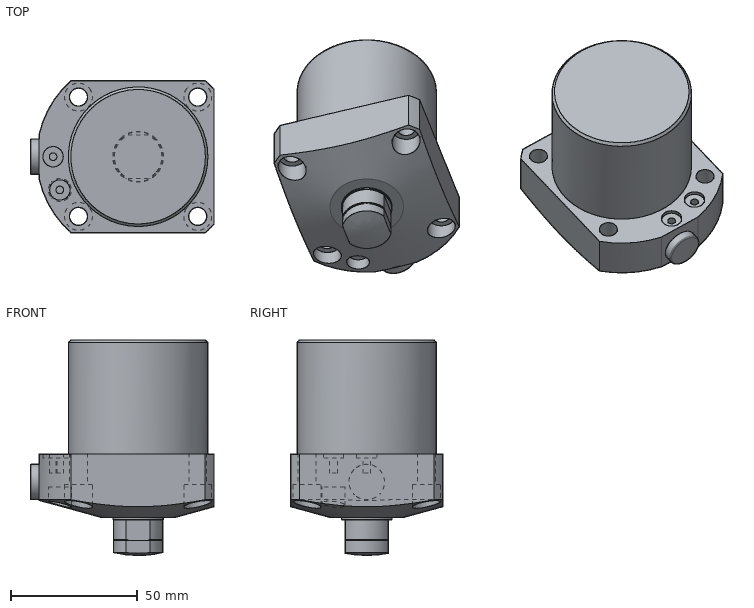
import cadquery as cq
import math


flange_width = 60.0
flange_height = 25.0
flange_radius = 40.0
port_flat_x = -39.0
cone_height = 7.0
cone_flat_radius = 14.5

cylinder_radius = 27.5
cylinder_height = 45.0
cylinder_chamfer = 1.0

mount_pitch = 47.0
mount_diameter = 7.0
mount_head_diameter = 11.0
mount_grip = 12.0

port_circle_radius = 33.5
port_step_angle = 23.0
port_angles = [180.0, 180.0 + port_step_angle]
seal_diameter = 8.0
seal_depth = 1.5
feed_diameter = 3.0
feed_depth = 6.0

underside_hole_diameter = 9.0
underside_hole_top = 12.0

plug_diameter = 14.0
plug_length = 3.5
plug_edge_radius = 0.5

collar_diameter = 20.0
collar_height = 0.9
collar_chamfer = 0.2
rod_diameter = 19.5
rod_across_flats = 17.0
rod_length = 9.0
rod_chamfer = 0.4
tip_length = 6.0
dome_height = 1.2

rod_radius = rod_diameter / 2
flange_top = flange_height
tip_top = -rod_length
tip_bottom = tip_top - tip_length


def upright_cylinder(diameter, bottom, top, x=0.0, y=0.0):
    """Cylinder along Z between two heights."""
    return cq.Workplane("XY", origin=(x, y, bottom)).circle(diameter / 2).extrude(top - bottom)


def port_position(angle):
    """Centre of a port on the port circle, for an angle in degrees from +X."""
    return (
        port_circle_radius * math.cos(math.radians(angle)),
        port_circle_radius * math.sin(math.radians(angle)),
    )


def flats_block():
    """Block between the two wrench flats, long enough for the rod and the tip."""
    return cq.Workplane("XY", origin=(0, 0, tip_bottom)).box(
        rod_diameter, rod_across_flats, -tip_bottom, centered=(True, True, False)
    )


def flange():
    """Round disc with a conical underside, trimmed to straight sides."""
    disc = (
        cq.Workplane("XZ")
        .polyline([
            (0, 0),
            (cone_flat_radius, 0),
            (flange_radius, cone_height),
            (flange_radius, flange_top),
            (0, flange_top),
        ])
        .close()
        .revolve(360, (0, 0, 0), (0, 1, 0))
    )
    trim_length = flange_width / 2 - port_flat_x
    trim = cq.Workplane("XY", origin=(port_flat_x, 0, 0)).box(
        trim_length, flange_width, flange_height, centered=(False, True, False)
    )
    return disc.intersect(trim)


def make_housing():
    cylinder = upright_cylinder(2 * cylinder_radius, flange_top, flange_top + cylinder_height)
    cylinder = cylinder.faces(">Z").chamfer(cylinder_chamfer)
    body = flange().union(cylinder)

    half_pitch = mount_pitch / 2
    for x in (-half_pitch, half_pitch):
        for y in (-half_pitch, half_pitch):
            body = body.cut(upright_cylinder(mount_diameter, 0, flange_top, x, y))
            body = body.cut(upright_cylinder(mount_head_diameter, 0, flange_top - mount_grip, x, y))

    seal_floor = flange_top - seal_depth
    for angle in port_angles:
        x, y = port_position(angle)
        body = body.cut(upright_cylinder(seal_diameter, seal_floor, flange_top, x, y))
        body = body.cut(upright_cylinder(feed_diameter, seal_floor - feed_depth, seal_floor, x, y))

    x, y = port_position(port_angles[1])
    return body.cut(upright_cylinder(underside_hole_diameter, 0, underside_hole_top, x, y))


def make_plug():
    """Round plug on the port flat, its lowest edge level with the top of the cone."""
    plug_z = cone_height + plug_diameter / 2
    return (
        cq.Workplane("YZ", origin=(port_flat_x, 0, plug_z))
        .circle(plug_diameter / 2)
        .extrude(-plug_length)
        .faces("<X")
        .fillet(plug_edge_radius)
    )


def make_rod():
    """Rod with two wrench flats under a thin round collar."""
    shank = upright_cylinder(rod_diameter, -rod_length, 0)
    shank = shank.faces("<Z").chamfer(rod_chamfer).intersect(flats_block())
    collar = upright_cylinder(collar_diameter, -collar_height, 0).faces("<Z").chamfer(collar_chamfer)
    return shank.union(collar)


def make_tip():
    """Domed end piece with the same flats as the rod."""
    dome_radius = (rod_radius**2 + dome_height**2) / (2 * dome_height)
    dome = cq.Workplane("XY", origin=(0, 0, tip_bottom + dome_radius)).sphere(dome_radius)
    blank = upright_cylinder(rod_diameter, tip_bottom, tip_top)
    return blank.intersect(dome).intersect(flats_block())


housing = make_housing()
plug = make_plug()
rod = make_rod()
tip = make_tip()

result = cq.Compound.makeCompound([
    housing.solids().val(),
    plug.solids().val(),
    rod.solids().val(),
    tip.solids().val(),
])